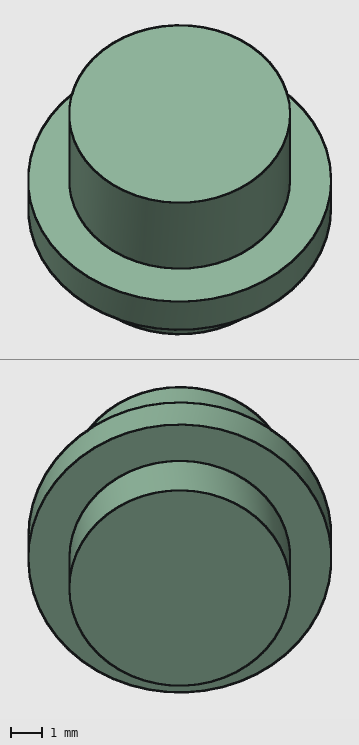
import cadquery as cq

flange_diameter = 9.6
body_diameter = 7.0
lower_height = 2.0
flange_height = 1.5
upper_height = 3.5

body_height = lower_height + flange_height + upper_height

body = cq.Workplane("XY").circle(body_diameter / 2).extrude(body_height)

flange = (
    cq.Workplane("XY")
    .workplane(offset=lower_height)
    .circle(flange_diameter / 2)
    .extrude(flange_height)
)

result = body.union(flange)